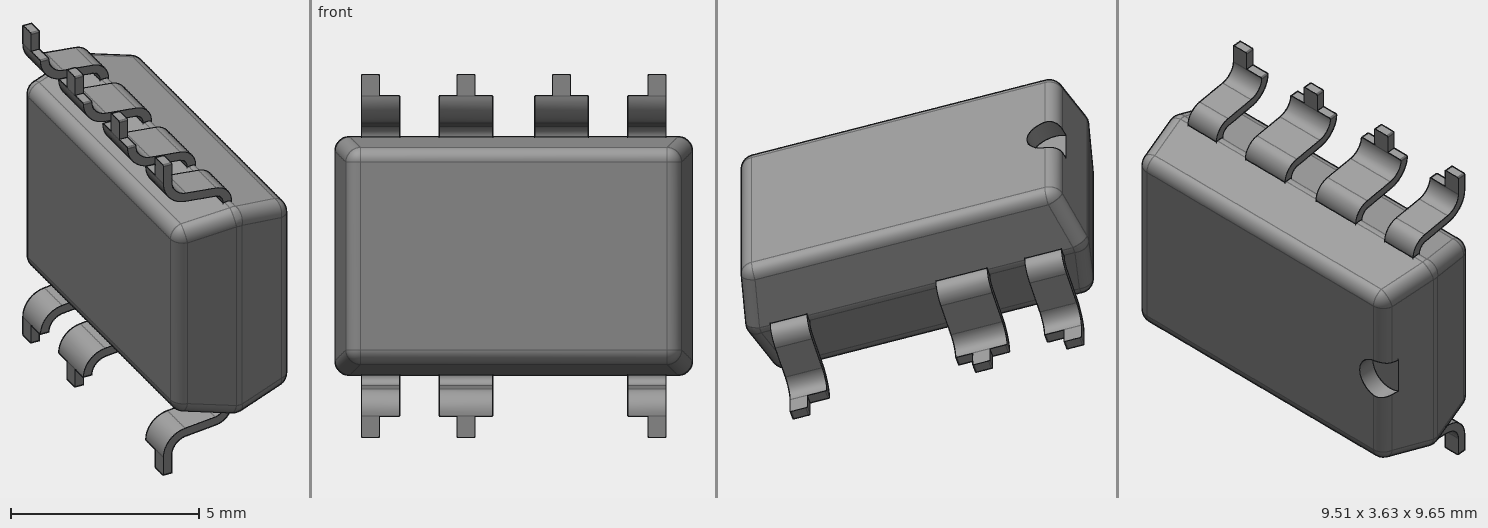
import cadquery as cq
import math

package_length = 9.51
package_height = 6.35
package_depth = 3.44
draft_angle = 12.0
edge_radius = 0.4
half_depth = package_depth / 2
half_height = package_height / 2

notch_radius = 0.62
notch_depth = 0.52
notch_axis_x = -4.2

overall_height = 9.65
lead_pitch = 2.54
lead_thickness = 0.25
foot_face_y = -1.91
lead_embed = 0.19
shoulder_bend_radius = 0.39
foot_bend_radius = 0.6
bridge_slope = 6.0
wide_end_height = 4.27
inner_lead_width = 1.43
outer_lead_width = 1.02
tip_width = 0.48
corner_radius = 0.04
half_tip = tip_width / 2
plate_depth = 4 * abs(foot_face_y)
tip_end_height = overall_height / 2

upper_row = (0, 1, 2, 3)
lower_row = (0, 1, 3)
last_position = 3


def make_package():
    draft = math.radians(draft_angle)
    crest_loss = edge_radius * (1 / math.cos(draft) - 1)
    front_half, back_half = [
        cq.Workplane("XZ")
        .rect(package_length + 2 * crest_loss, package_height + 2 * crest_loss)
        .extrude(distance, taper=draft_angle)
        for distance in (half_depth, -half_depth)
    ]
    package = front_half.union(back_half).edges().fillet(edge_radius)

    notch = (
        cq.Workplane("XZ", origin=(notch_axis_x, half_depth, 0))
        .circle(notch_radius)
        .extrude(notch_depth)
    )
    return package.cut(notch)


def make_bent_strip():
    """Side profile of an upper lead, extruded over the whole package length."""
    slope = math.radians(bridge_slope)
    half_thickness = lead_thickness / 2
    foot_y = foot_face_y + half_thickness

    bend_radii = shoulder_bend_radius + foot_bend_radius
    bridge_length = (-foot_y - bend_radii * (1 - math.sin(slope))) / math.cos(slope)
    shoulder_y = -shoulder_bend_radius
    foot_bend_y = foot_y + foot_bend_radius
    foot_bend_z = half_height + bend_radii * math.cos(slope) + bridge_length * math.sin(slope)

    def shoulder_point(offset, angle):
        radius = shoulder_bend_radius + offset
        return shoulder_y + radius * math.cos(angle), half_height + radius * math.sin(angle)

    def foot_point(offset, angle):
        radius = foot_bend_radius - offset
        return foot_bend_y - radius * math.cos(angle), foot_bend_z - radius * math.sin(angle)

    bridge_angle = math.pi / 2 - slope
    middle = bridge_angle / 2
    upper, lower = half_thickness, -half_thickness
    return (
        cq.Workplane("YZ")
        .moveTo(upper, half_height - lead_embed)
        .lineTo(*shoulder_point(upper, 0))
        .threePointArc(shoulder_point(upper, middle), shoulder_point(upper, bridge_angle))
        .lineTo(*foot_point(upper, bridge_angle))
        .threePointArc(foot_point(upper, middle), foot_point(upper, 0))
        .lineTo(foot_y + half_thickness, tip_end_height)
        .lineTo(foot_face_y, tip_end_height)
        .lineTo(*foot_point(lower, 0))
        .threePointArc(foot_point(lower, middle), foot_point(lower, bridge_angle))
        .lineTo(*shoulder_point(lower, bridge_angle))
        .threePointArc(shoulder_point(lower, middle), shoulder_point(lower, 0))
        .lineTo(lower, half_height - lead_embed)
        .close()
        .extrude(package_length / 2, both=True)
    )


def make_plate(left, right, top):
    """Upright plate with rounded top corners that trims a bent strip to width."""
    return (
        cq.Workplane("XY")
        .box(right - left, plate_depth, top, centered=(False, True, False))
        .translate((left, 0, 0))
        .edges("|Y and >Z")
        .fillet(corner_radius)
    )


def make_upper_lead(position):
    """Bent strip trimmed to a wide part and a narrow tip."""
    tip_x = (position - last_position / 2) * lead_pitch
    tip_left, tip_right = tip_x - half_tip, tip_x + half_tip
    if position == 0:
        wide_left, wide_right = tip_left, tip_left + outer_lead_width
    elif position == last_position:
        wide_left, wide_right = tip_right - outer_lead_width, tip_right
    else:
        wide_left, wide_right = tip_x - inner_lead_width / 2, tip_x + inner_lead_width / 2
    wide_plate = make_plate(wide_left, wide_right, wide_end_height)
    tip_plate = make_plate(tip_left, tip_right, tip_end_height)
    return make_bent_strip().intersect(wide_plate.union(tip_plate))


upper_leads = [make_upper_lead(position) for position in upper_row]
lower_leads = [make_upper_lead(position).mirror("XY") for position in lower_row]
leads = upper_leads + lower_leads

package = make_package()
for lead in leads:
    package = package.cut(lead)

lead_solids = [lead.solids().val() for lead in leads]
result = cq.Compound.makeCompound([package.solids().val(), *lead_solids])